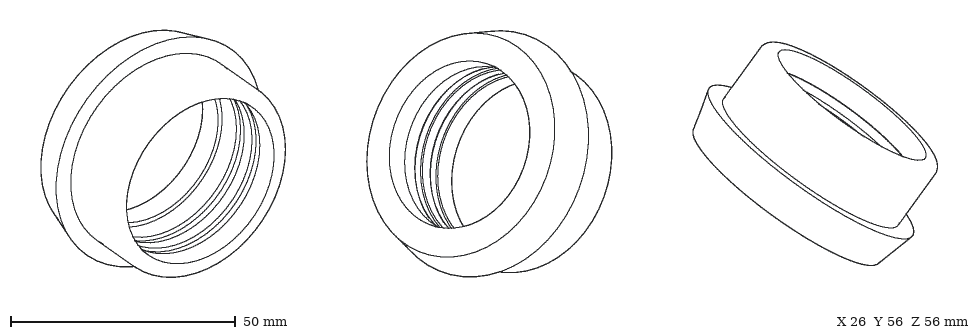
import cadquery as cq
import math

total_length = 26.0
flange_length = 10.0

flange_radius = 56.0 / 2
face_radius = 50.92 / 2
body_radius = 48.0 / 2
body_end_fillet = 1.6

lip_radius = 38.0 / 2
lip_length = 6.0
bore_radius = 40.2 / 2

ring_width = 0.5
ring_radius = lip_radius + ring_width
face_angle = 5.0
face_rise = (face_radius - ring_radius) * math.tan(math.radians(face_angle))

groove_radius = 41.2 / 2
groove_length = 3.0
groove_ramp_angle = 30.0
groove_ramp = (groove_radius - bore_radius) / math.tan(math.radians(groove_ramp_angle))
groove_pitch = 6.0
groove_count = 2
first_groove_start = 11.5


def outer_body():
    """Flange with a flat ring, a shallow conical face and a tapered rim, on a cylindrical body."""
    profile = (
        cq.Workplane("XY")
        .moveTo(0, 0)
        .lineTo(0, ring_radius)
        .lineTo(face_rise, face_radius)
        .lineTo(flange_length, flange_radius)
        .lineTo(flange_length, body_radius)
        .lineTo(total_length - body_end_fillet, body_radius)
        .radiusArc((total_length, body_radius - body_end_fillet), body_end_fillet)
        .lineTo(total_length, 0)
        .close()
    )
    return profile.revolve(360, (0, 0, 0), (1, 0, 0))


def bore():
    """Stepped through bore with a narrower lip at the flange face."""
    profile = (
        cq.Workplane("XY")
        .moveTo(0, 0)
        .lineTo(0, lip_radius)
        .lineTo(lip_length, lip_radius)
        .lineTo(lip_length, bore_radius)
        .lineTo(total_length, bore_radius)
        .lineTo(total_length, 0)
        .close()
    )
    return profile.revolve(360, (0, 0, 0), (1, 0, 0))


def groove(start):
    """Groove cutter with a sloped wall on the flange side and a square wall on the far side."""
    profile = (
        cq.Workplane("XY")
        .moveTo(start, 0)
        .lineTo(start, bore_radius)
        .lineTo(start + groove_ramp, groove_radius)
        .lineTo(start + groove_length, groove_radius)
        .lineTo(start + groove_length, 0)
        .close()
    )
    return profile.revolve(360, (0, 0, 0), (1, 0, 0))


result = outer_body().cut(bore())
for index in range(groove_count):
    result = result.cut(groove(first_groove_start + index * groove_pitch))